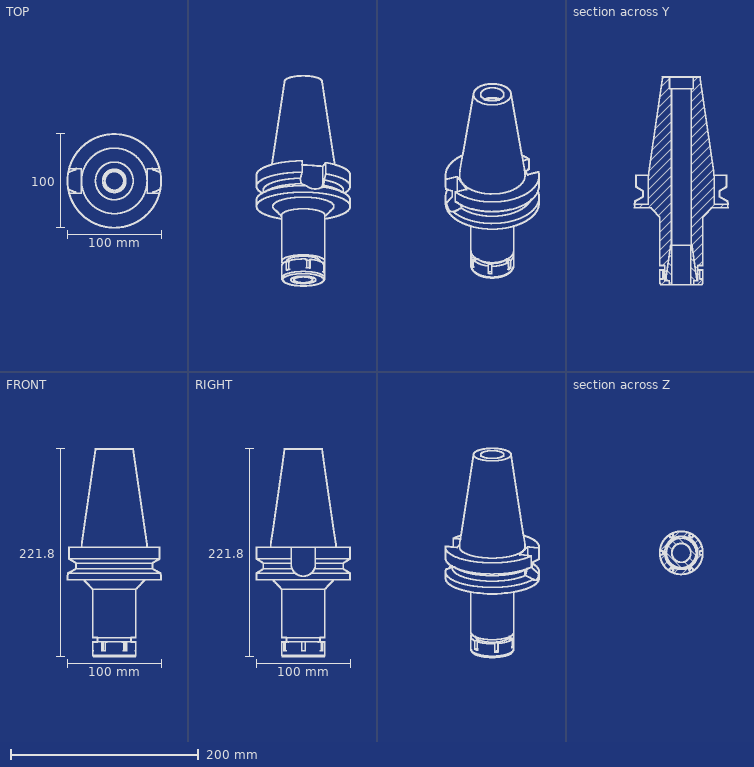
import cadquery as cq
import math

TOTAL_HEIGHT = 221.8
GAUGE_LINE_Z = 120.0
FLANGE_TOP_Z = 117.0
GROOVE_UPPER_RIM_Z = 104.5
GROOVE_UPPER_FLOOR_Z = 100.0
GROOVE_LOWER_FLOOR_Z = 93.8
GROOVE_LOWER_RIM_Z = 89.4
FLANGE_BOTTOM_Z = 82.0
SHOULDER_BOTTOM_Z = 72.0
SHANK_BOTTOM_Z = 20.6
NUT_TOP_Z = 16.0
NECK_BOTTOM_Z = 4.5

GAUGE_DIAMETER = 69.9
GAUGE_RADIUS = GAUGE_DIAMETER / 2
TAPER_RATIO = 7 / 24
TAPER_END_RADIUS = GAUGE_RADIUS - (TOTAL_HEIGHT - GAUGE_LINE_Z) * TAPER_RATIO / 2
FLANGE_DIAMETER = 100.0
FLANGE_RADIUS = FLANGE_DIAMETER / 2
GROOVE_FLOOR_RADIUS = 42.8
SHOULDER_RADIUS = 32.5
SHANK_RADIUS = 23.0
NECK_RADIUS = 18.0

KEY_SLOT_WIDTH = 26.0
KEY_SLOT_BOTTOM_Z = 86.0
KEY_SLOT_FLOOR_X = 35.3

BORE_RADIUS = 10.5
PULL_STUD_BORE_RADIUS = 12.5
PULL_STUD_BORE_DEPTH = 12.6

COLLET_BORE_RADIUS = 10.0
COLLET_SMALL_RADIUS = 11.0
COLLET_LARGE_RADIUS = 16.5
COLLET_TAPER_ANGLE = 8.0
COLLET_TAPER_WIDTH = COLLET_LARGE_RADIUS - COLLET_SMALL_RADIUS
COLLET_TAPER_LENGTH = COLLET_TAPER_WIDTH / math.tan(math.radians(COLLET_TAPER_ANGLE))
COLLET_TOP_Z = NECK_BOTTOM_Z + COLLET_TAPER_LENGTH
COLLET_NOSE_RADIUS = 13.3

NUT_RADIUS = SHANK_RADIUS
NUT_CHAMFER_HEIGHT = 2.0
NUT_CHAMFER_WIDTH = 1.0
WRENCH_SLOT_COUNT = 6
WRENCH_SLOT_WIDTH = 3.8
WRENCH_SLOT_BOTTOM_Z = 6.5
WRENCH_SLOT_FLOOR_RADIUS = 19.7


def revolve_profile(points):
    """Solid of revolution about Z from (radius, height) points."""
    return cq.Workplane("XZ").polyline(points).close().revolve(360, (0, 0, 0), (0, 1, 0))


def cylinder(radius, bottom_z, top_z):
    """Cylinder on the Z axis between two heights."""
    return cq.Workplane("XY").workplane(offset=bottom_z).circle(radius).extrude(top_z - bottom_z)


def collet_envelope():
    """Outside shape of the collet: a taper in the holder above a plain nose in the nut."""
    return revolve_profile([
        (0, 0),
        (COLLET_NOSE_RADIUS, 0),
        (COLLET_NOSE_RADIUS, NECK_BOTTOM_Z),
        (COLLET_LARGE_RADIUS, NECK_BOTTOM_Z),
        (COLLET_SMALL_RADIUS, COLLET_TOP_Z),
        (0, COLLET_TOP_Z),
    ])


def key_slot():
    """Round-bottomed drive slot on the +X side, open at the top and the rim of the flange."""
    slot_radius = KEY_SLOT_WIDTH / 2
    arc_center_z = KEY_SLOT_BOTTOM_Z + slot_radius
    return (
        cq.Workplane("YZ")
        .workplane(offset=KEY_SLOT_FLOOR_X)
        .moveTo(-slot_radius, FLANGE_TOP_Z)
        .lineTo(-slot_radius, arc_center_z)
        .threePointArc((0, KEY_SLOT_BOTTOM_Z), (slot_radius, arc_center_z))
        .lineTo(slot_radius, FLANGE_TOP_Z)
        .close()
        .extrude(FLANGE_RADIUS - KEY_SLOT_FLOOR_X)
    )


def make_holder():
    """Steep-taper tool holder with grooved flange, shank and neck."""
    holder = revolve_profile([
        (0, NECK_BOTTOM_Z),
        (NECK_RADIUS, NECK_BOTTOM_Z),
        (NECK_RADIUS, SHANK_BOTTOM_Z),
        (SHANK_RADIUS, SHANK_BOTTOM_Z),
        (SHANK_RADIUS, SHOULDER_BOTTOM_Z),
        (SHOULDER_RADIUS, FLANGE_BOTTOM_Z),
        (FLANGE_RADIUS, FLANGE_BOTTOM_Z),
        (FLANGE_RADIUS, GROOVE_LOWER_RIM_Z),
        (GROOVE_FLOOR_RADIUS, GROOVE_LOWER_FLOOR_Z),
        (GROOVE_FLOOR_RADIUS, GROOVE_UPPER_FLOOR_Z),
        (FLANGE_RADIUS, GROOVE_UPPER_RIM_Z),
        (FLANGE_RADIUS, FLANGE_TOP_Z),
        (GAUGE_RADIUS, FLANGE_TOP_Z),
        (GAUGE_RADIUS, GAUGE_LINE_Z),
        (TAPER_END_RADIUS, TOTAL_HEIGHT),
        (0, TOTAL_HEIGHT),
    ])
    for angle in (0, 180):
        holder = holder.cut(key_slot().rotate((0, 0, 0), (0, 0, 1), angle))
    holder = holder.cut(cylinder(BORE_RADIUS, NECK_BOTTOM_Z, TOTAL_HEIGHT))
    holder = holder.cut(cylinder(PULL_STUD_BORE_RADIUS, TOTAL_HEIGHT - PULL_STUD_BORE_DEPTH, TOTAL_HEIGHT))
    return holder.cut(collet_envelope())


def make_collet():
    """Collet seated in the holder taper, with a straight bore for the tool."""
    return collet_envelope().cut(cylinder(COLLET_BORE_RADIUS, 0, COLLET_TOP_Z))


def wrench_slot():
    """Wrench slot on the +X side of the nut, open at its top face."""
    slot_depth = NUT_RADIUS - WRENCH_SLOT_FLOOR_RADIUS
    slot_height = NUT_TOP_Z - WRENCH_SLOT_BOTTOM_Z
    return (
        cq.Workplane("XY")
        .box(slot_depth, WRENCH_SLOT_WIDTH, slot_height, centered=(False, True, False))
        .translate((WRENCH_SLOT_FLOOR_RADIUS, 0, WRENCH_SLOT_BOTTOM_Z))
    )


def make_nut():
    """Clamping nut around the neck and the collet nose."""
    nut = revolve_profile([
        (COLLET_NOSE_RADIUS, 0),
        (NUT_RADIUS - NUT_CHAMFER_WIDTH, 0),
        (NUT_RADIUS, NUT_CHAMFER_HEIGHT),
        (NUT_RADIUS, NUT_TOP_Z),
        (NECK_RADIUS, NUT_TOP_Z),
        (NECK_RADIUS, NECK_BOTTOM_Z),
        (COLLET_NOSE_RADIUS, NECK_BOTTOM_Z),
    ])
    for index in range(WRENCH_SLOT_COUNT):
        angle = index * 360 / WRENCH_SLOT_COUNT
        nut = nut.cut(wrench_slot().rotate((0, 0, 0), (0, 0, 1), angle))
    return nut


holder = make_holder()
collet = make_collet()
nut = make_nut()

result = cq.Compound.makeCompound([holder.val(), collet.val(), nut.val()])